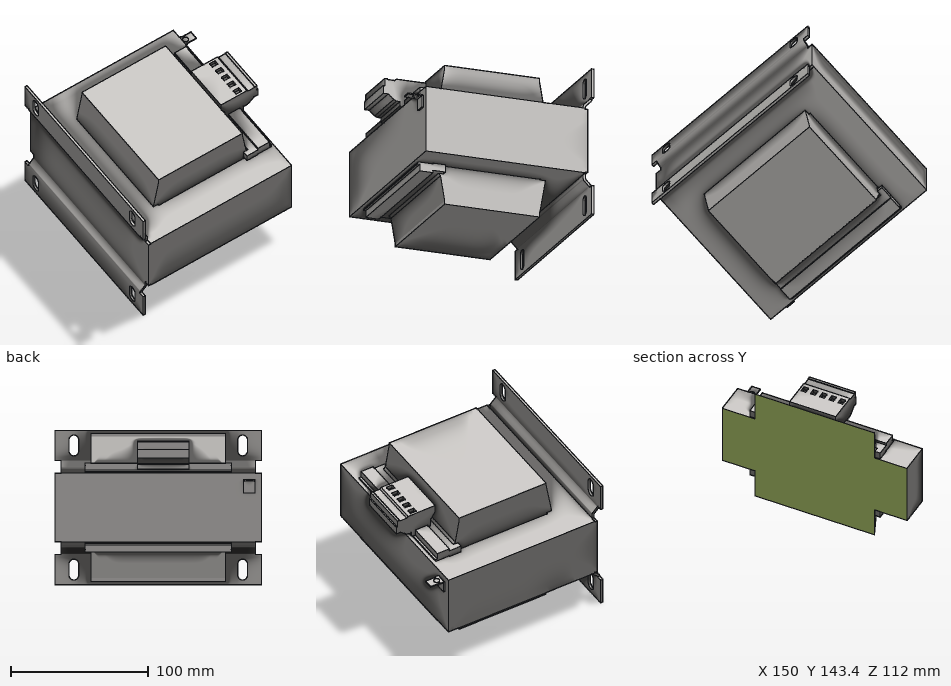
import cadquery as cq
import math

WIDTH = 150.0
HEIGHT = 112.0

PLATE_THICK = 2.0
FLANGE_HEIGHT = 22.0
PLATE_OFFSET = 4.8
PANEL_HALF_HEIGHT = 24.3
NECK_WIDTH = 141.3
BEND_RADIUS = 0.6
BEND_ANGLE = 45.0
SLOT_WIDTH = 6.9
SLOT_LENGTH = 15.0
SLOT_SPACING_X = 122.4
SLOT_SPACING_Z = 90.0

CORE_FRONT = PLATE_OFFSET + PLATE_THICK
CORE_BACK = 131.2
CORE_HALF_HEIGHT = 24.9
WINDOW_FRONT = 31.6
WINDOW_BACK = 106.5
WINDOW_WIDTH = 99.6

COIL_WIDTH = 97.2
COIL_HALF_HEIGHT = 53.5
COIL_SHOULDER = 51.3
COIL_TOP_FRONT = 32.1
COIL_TOP_BACK = 106.0
COIL_FOOT_FRONT = 27.5
COIL_FOOT_BACK = 109.4
COIL_FLARE = 1.6

STRIP_WIDTH = 105.9
STRIP_FRONT = 107.1
STRIP_STEP = 117.0
STRIP_BACK = 127.2
STRIP_LOW_TOP = 30.5
STRIP_HIGH_TOP = 32.2
STRIP_GAP = 0.6
LIP_BACK = 129.0
LIP_TOP = 27.2
LIP_BEVEL = 0.6

POLE_COUNT = 5
POLE_PITCH = 7.5
BLOCK_CENTER_X = -3.6
POCKET_WIDTH = 3.8
POCKET_LENGTH = 5.0
POCKET_CENTER_Y = 127.6
POCKET_DEPTH = 3.0
BLOCK_TOP = 48.2
BLOCK_FRONT = 110.4
BLOCK_BACK = 143.4
BLOCK_FOOT_FRONT = 114.2
FRONT_SLOPE_TOP = 42.5
FRONT_SLOPE_BOTTOM = 36.5
LEDGE_FRONT = 134.5
LEDGE_DEPTH = 1.2
RIDGE_WIDTH = 2.0
RIDGE_HEIGHT = 0.6
NOSE_DEPTH = 1.0
NOSE_TOP = 42.0
NOSE_BOTTOM = 35.8
BELLY_BACK = 139.6
BELLY_KNEE_Y = 135.5
BELLY_KNEE_Z = 32.1
BELLY_FRONT = 133.2
BELLY_BOTTOM = 31.2
HOOK_BACK = 130.5
HOOK_BOTTOM = 27.9

TAB_CENTER_X = -66.0
TAB_WIDTH = 6.9
TAB_BASE_WIDTH = 8.1
TAB_END = 143.0
TAB_BASE_END = 134.8
TAB_TOP = 20.2
TAB_BOTTOM = 10.6
TAB_THICK = 0.9
TAB_LEG_THICK = 1.2
TAB_BEND_RADIUS = 1.2
MARK_DIAMETER = 4.4
MARK_CENTER_Y = 135.8
MARK_DEPTH = 0.3


def box(x_size, x_center, y_min, y_max, z_min, z_max):
    """Box centred on x_center, between the given Y and Z limits."""
    return (
        cq.Workplane("XY")
        .box(x_size, y_max - y_min, z_max - z_min, centered=(True, False, False))
        .translate((x_center, y_min, z_min))
    )


def extrude_section(section, width, x_center=0.0):
    """Extrude a closed (Y, Z) outline symmetrically about x_center."""
    return (
        cq.Workplane("YZ", origin=(x_center, 0, 0))
        .polyline(section)
        .close()
        .extrude(width / 2, both=True)
    )


def with_mirror(solid):
    """Join a solid with its mirror image below Z = 0."""
    return solid.union(solid.mirror("XY"))


def make_plate_half():
    """Upper half of the plate: centre panel, 45 degree jog and slotted flange."""
    half_angle = math.radians(BEND_ANGLE / 2)
    back_shift = PLATE_THICK * math.tan(half_angle)
    outer_radius = BEND_RADIUS + PLATE_THICK
    flange_bottom = HEIGHT / 2 - FLANGE_HEIGHT
    front_outer_z = flange_bottom - outer_radius * math.tan(half_angle)
    front_inner_z = front_outer_z - PLATE_OFFSET / math.tan(math.radians(BEND_ANGLE))
    inner_bends = [
        (PLATE_OFFSET, front_inner_z),
        (PLATE_THICK, front_outer_z + back_shift),
    ]
    outer_bends = [
        (0, front_outer_z),
        (CORE_FRONT, front_inner_z + back_shift),
    ]
    section = [
        (PLATE_OFFSET, 0),
        inner_bends[0],
        outer_bends[0],
        (0, HEIGHT / 2),
        (PLATE_THICK, HEIGHT / 2),
        inner_bends[1],
        outer_bends[1],
        (CORE_FRONT, 0),
    ]
    plate = extrude_section(section, WIDTH)
    for bends, radius in ((inner_bends, BEND_RADIUS), (outer_bends, outer_radius)):
        for y, z in bends:
            plate = plate.edges(cq.NearestToPointSelector((0, y, z))).fillet(radius)

    notch_width = (WIDTH - NECK_WIDTH) / 2
    for side in (-1, 1):
        notch_x = side * (WIDTH - notch_width) / 2
        plate = plate.cut(box(notch_width, notch_x, 0, CORE_FRONT, PANEL_HALF_HEIGHT, flange_bottom))

    slots = (
        cq.Workplane("XZ")
        .pushPoints([(side * SLOT_SPACING_X / 2, SLOT_SPACING_Z / 2) for side in (-1, 1)])
        .slot2D(SLOT_LENGTH, SLOT_WIDTH, 90)
        .extrude(-PLATE_THICK)
    )
    return plate.cut(slots)


def make_core():
    """Rectangular laminated core with one window for the coil."""
    core = box(WIDTH, 0, CORE_FRONT, CORE_BACK, -CORE_HALF_HEIGHT, CORE_HALF_HEIGHT)
    window = box(WINDOW_WIDTH, 0, WINDOW_FRONT, WINDOW_BACK, -CORE_HALF_HEIGHT, CORE_HALF_HEIGHT)
    return core.cut(window)


def make_coil():
    """Coil filling the window lengthwise and bulging above and below the core."""
    foot_back = COIL_FOOT_BACK + COIL_FLARE
    end_turns = extrude_section(
        [
            (COIL_FOOT_FRONT, CORE_HALF_HEIGHT),
            (COIL_TOP_FRONT, COIL_SHOULDER),
            (COIL_TOP_FRONT, COIL_HALF_HEIGHT),
            (COIL_TOP_BACK, COIL_HALF_HEIGHT),
            (COIL_TOP_BACK, COIL_SHOULDER),
            (COIL_FOOT_BACK, STRIP_LOW_TOP + COIL_FLARE),
            (foot_back, STRIP_LOW_TOP),
            (foot_back, CORE_HALF_HEIGHT),
        ],
        COIL_WIDTH,
    )
    middle = box(COIL_WIDTH, 0, WINDOW_FRONT, WINDOW_BACK, -CORE_HALF_HEIGHT, CORE_HALF_HEIGHT)
    return with_mirror(end_turns).union(middle)


def make_strip():
    """Stepped terminal carrier with a thin lip along its rear edge."""
    underside = CORE_HALF_HEIGHT + STRIP_GAP
    section = [
        (STRIP_FRONT, CORE_HALF_HEIGHT),
        (STRIP_FRONT, STRIP_LOW_TOP),
        (STRIP_STEP, STRIP_LOW_TOP),
        (STRIP_STEP, STRIP_HIGH_TOP),
        (STRIP_BACK, STRIP_HIGH_TOP),
        (STRIP_BACK, LIP_TOP),
        (LIP_BACK, LIP_TOP),
        (LIP_BACK, underside + LIP_BEVEL),
        (LIP_BACK - LIP_BEVEL, underside),
        (STRIP_STEP, underside),
        (STRIP_STEP, CORE_HALF_HEIGHT),
    ]
    return extrude_section(section, STRIP_WIDTH)


def make_terminal_block():
    """Row of terminal poles, hooked over the upper strip, with a pocket per pole."""
    ledge_z = BLOCK_TOP - LEDGE_DEPTH
    ridge_z = ledge_z + RIDGE_HEIGHT
    ridge_back = BLOCK_BACK - NOSE_DEPTH
    section = [
        (BLOCK_FOOT_FRONT, STRIP_LOW_TOP),
        (BLOCK_FOOT_FRONT, FRONT_SLOPE_BOTTOM),
        (BLOCK_FRONT, FRONT_SLOPE_TOP),
        (BLOCK_FRONT, BLOCK_TOP),
        (LEDGE_FRONT - LEDGE_DEPTH, BLOCK_TOP),
        (LEDGE_FRONT, ledge_z),
        (ridge_back - RIDGE_WIDTH, ledge_z),
        (ridge_back - RIDGE_WIDTH, ridge_z),
        (ridge_back, ridge_z),
        (ridge_back, NOSE_TOP),
        (BLOCK_BACK, NOSE_TOP),
        (BLOCK_BACK, NOSE_BOTTOM),
        (BELLY_BACK, NOSE_BOTTOM),
        (BELLY_KNEE_Y, BELLY_KNEE_Z),
        (BELLY_FRONT, BELLY_BOTTOM),
        (HOOK_BACK, BELLY_BOTTOM),
        (HOOK_BACK, HOOK_BOTTOM),
        (LIP_BACK, LIP_TOP),
        (STRIP_BACK, LIP_TOP),
        (STRIP_BACK, STRIP_LOW_TOP),
    ]
    block = extrude_section(section, POLE_COUNT * POLE_PITCH, BLOCK_CENTER_X)
    pockets = (
        cq.Workplane("XY", origin=(BLOCK_CENTER_X, POCKET_CENTER_Y, BLOCK_TOP))
        .rarray(POLE_PITCH, 1.5, POLE_COUNT, 1)
        .rect(POCKET_WIDTH, POCKET_LENGTH)
        .extrude(-POCKET_DEPTH)
    )
    return block.cut(pockets)


def make_earth_tab():
    """Angled tab on the rear face with a shallow round mark on its blade."""
    blade_bottom = TAB_TOP - TAB_THICK
    leg_back = CORE_BACK + TAB_LEG_THICK
    blade = box(TAB_WIDTH, TAB_CENTER_X, leg_back, TAB_END, blade_bottom, TAB_TOP)
    base = box(TAB_BASE_WIDTH, TAB_CENTER_X, CORE_BACK, TAB_BASE_END, blade_bottom, TAB_TOP)
    leg = box(TAB_BASE_WIDTH, TAB_CENTER_X, CORE_BACK, leg_back, TAB_BOTTOM, TAB_TOP)
    mark = (
        cq.Workplane("XY", origin=(TAB_CENTER_X, MARK_CENTER_Y, TAB_TOP))
        .circle(MARK_DIAMETER / 2)
        .extrude(-MARK_DEPTH)
    )
    outer_corner = cq.NearestToPointSelector((TAB_CENTER_X, CORE_BACK, TAB_TOP))
    bracket = base.union(leg).edges(outer_corner).fillet(TAB_BEND_RADIUS)
    return bracket.union(blade).cut(mark)


result = (
    make_core()
    .union(make_coil())
    .union(with_mirror(make_plate_half()))
    .union(with_mirror(make_strip()))
    .union(make_terminal_block())
    .union(make_earth_tab())
)